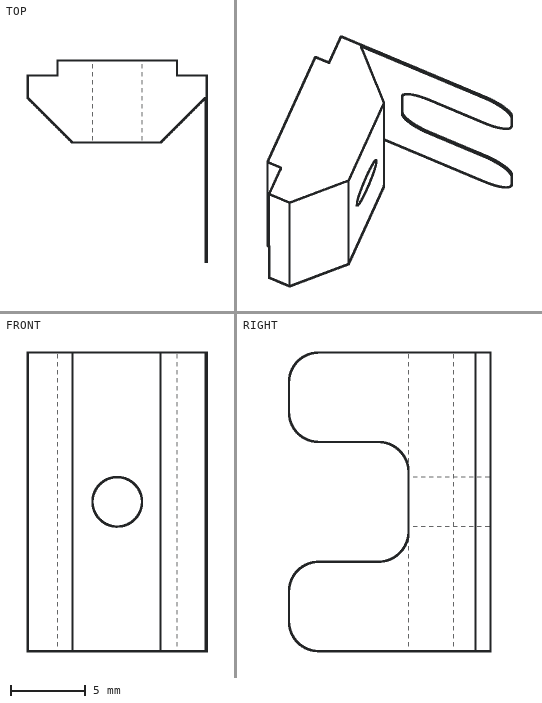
import cadquery as cq

width = 12.0
depth = 13.5
height = 20.0

rib_width = 8.0
rib_depth = 1.0
shoulder_depth = 2.5
block_depth = 5.5
slope = block_depth - shoulder_depth
hole_diameter = 3.3

sheet_thickness = 0.1
arm_height = 6.0
corner_radius = 2.0

right = width / 2
left = -right
sheet_inner = right - sheet_thickness
rib_half = rib_width / 2
slot_height = height - 2 * arm_height


def make_block():
    """T-slot nut profile extruded along Z, with a through hole along Y."""
    outline = [
        (-rib_half, 0),
        (rib_half, 0),
        (rib_half, -rib_depth),
        (right, -rib_depth),
        (right, -shoulder_depth),
        (sheet_inner, -shoulder_depth),
        (sheet_inner - slope, -block_depth),
        (left + slope, -block_depth),
        (left, -shoulder_depth),
        (left, -rib_depth),
        (-rib_half, -rib_depth),
    ]
    block = cq.Workplane("XY").polyline(outline).close().extrude(height / 2, both=True)
    hole = cq.Workplane("XZ").circle(hole_diameter / 2).extrude(block_depth)
    return block.cut(hole)


def make_sheet():
    """Flat sheet with two rounded arms reaching toward -Y."""
    sheet_length = depth - rib_depth
    sheet = cq.Workplane("XY").box(
        sheet_thickness, sheet_length, height, centered=(False, False, True)
    ).translate((sheet_inner, -depth, 0))
    slot = cq.Workplane("XY").box(
        sheet_thickness, depth - block_depth, slot_height, centered=(False, False, True)
    ).translate((sheet_inner, -depth, 0))
    sheet = sheet.cut(slot)
    rounded_edges = sheet.edges("|X").edges(cq.selectors.BoxSelector(
        (left, -2 * depth, -height), (width, -shoulder_depth, height)
    ))
    return rounded_edges.fillet(corner_radius)


result = make_block().union(make_sheet())